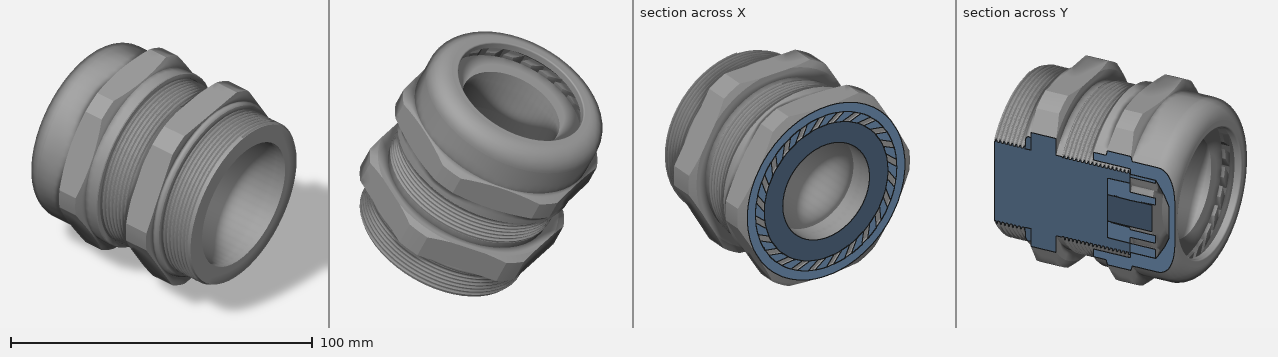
import cadquery as cq
import math


TOTAL_LENGTH = 67.7
HEX_SIDES = 6
HEX_FLATS = 64.0
HEX_CORNER_DIA = 70.05

NUT_DIA = 63.05
NUT_LENGTH = 30.7
NUT_END_CHAMFER = 0.3
NUT_HEX_START = 16.05
NUT_HEX_LENGTH = 9.9
DOME_FACE_DIA = 50.1
LIP_BORE_DIA = 45.1
LIP_LENGTH = 2.5
LIP_FILLET = 0.5
NUT_CAVITY_DIA = 57.15
CAVITY_MOUTH_DIA = 50.8
NUT_BORE_DIA = 59.4
HEX_CHAMFER_ANGLE = 24.0

BODY_START = 16.8
BODY_BORE_DIA = 45.05
CORE_DIA = 57.6
NECK_DIA = 57.9
NECK_START = 42.15
BODY_HEX_START = 44.4
BODY_HEX_LENGTH = 9.5
BODY_HEX_FACE_DIA = 65.15

TURNS_GAUGED = 7
TURNS_GAUGED_LENGTH = 10.5
PITCH = TURNS_GAUGED_LENGTH / TURNS_GAUGED
CREST_DIA = 59.0
RIDGE_BASE = 0.85
RIDGE_CREST = 0.15
RIDGE_ROOT_DEPTH = 0.2
THREAD_END_MARGIN = 0.15

SEAL_START = 8.6
SEAL_END = 25.2
SEAL_DIA = 50.4
SEAL_BORE_DIA = 35.0

CAGE_START = 7.35
CAGE_TAIL_DIA = 54.1
SLOT_COUNT = 24
SLOT_WIDTH = 1.9
SLOT_MOUTH_ANGLE = 4.3
SLOT_SKEW = 50.0
SLOT_REACH = 8.4
SLOT_BACKSTEP = 2.1

RING_LENGTH = 2.1
RING_DIA = 63.05
RING_CROWN_OFFSET = 0.8
RING_INNER_DROP = 0.2
RING_OUTER_DROP = 0.8

BODY_HEX_END = BODY_HEX_START + BODY_HEX_LENGTH
RING_END = BODY_HEX_END + RING_LENGTH


def turned(points):
    """Solid of revolution about X from (x, diameter) corner points."""
    corners = [(x, dia / 2) for x, dia in points]
    return cq.Workplane("XY").polyline(corners).close().revolve(360, (0, 0, 0), (1, 0, 0))


def tube(start, end, outer_dia, inner_dia):
    return turned([(start, inner_dia), (start, outer_dia), (end, outer_dia), (end, inner_dia)])


def rod(start, end, dia):
    return tube(start, end, dia, 0)


def hexagon(start, length, face_dia, chamfer_end):
    """Hexagon with corners on Y, turned to the corner diameter and chamfered down to face_dia."""
    drop = (HEX_CORNER_DIA - face_dia) / 2 * math.tan(math.radians(HEX_CHAMFER_ANGLE))
    end = start + length
    if chamfer_end:
        end_points = [(end - drop, HEX_CORNER_DIA), (end, face_dia)]
    else:
        end_points = [(end, HEX_CORNER_DIA)]
    envelope = turned(
        [(start, 0), (start, face_dia), (start + drop, HEX_CORNER_DIA), *end_points, (end, 0)]
    )
    corner_to_corner = HEX_FLATS / math.cos(math.pi / HEX_SIDES)
    prism = (
        cq.Workplane("YZ").workplane(offset=start).polygon(HEX_SIDES, corner_to_corner).extrude(length)
    )
    return prism.intersect(envelope)


def thread_ridge(start, end):
    """Right-hand ridge cut off square at x = start and ending at the top (+Z) with a flank at x = end."""
    height = math.ceil((end - start) / PITCH) * PITCH
    root_radius = CORE_DIA / 2 - RIDGE_ROOT_DEPTH
    crest_radius = CREST_DIA / 2
    flank_run = (RIDGE_BASE - RIDGE_CREST) / 2 / (crest_radius - CORE_DIA / 2)
    half_root = RIDGE_BASE / 2 + flank_run * RIDGE_ROOT_DEPTH
    half_crest = RIDGE_CREST / 2
    path = cq.Wire.makeHelix(PITCH, height, CORE_DIA / 2)
    profile = (
        cq.Workplane("XZ")
        .moveTo(root_radius, -half_root)
        .lineTo(crest_radius, -half_crest)
        .lineTo(crest_radius, half_crest)
        .lineTo(root_radius, half_root)
        .close()
    )
    ridge = profile.sweep(cq.Workplane(obj=path), isFrenet=True)
    ridge = ridge.rotate((0, 0, 0), (0, 0, 1), 180).rotate((0, 0, 0), (0, 1, 0), 90)
    ridge = ridge.translate((end - RIDGE_BASE / 2 - height, 0, 0))
    return ridge.cut(rod(start - 2 * PITCH, start, NUT_DIA))


def make_nut():
    dome_radius = (NUT_DIA - DOME_FACE_DIA) / 2
    outside = rod(0, NUT_LENGTH, NUT_DIA).faces("<X").edges().fillet(dome_radius)
    outside = outside.faces(">X").edges().chamfer(NUT_END_CHAMFER)
    outside = outside.union(hexagon(NUT_HEX_START, NUT_HEX_LENGTH, NUT_DIA, True))
    cavity = turned(
        [
            (LIP_LENGTH, 0),
            (LIP_LENGTH, CAVITY_MOUTH_DIA),
            (CAGE_START, NUT_CAVITY_DIA),
            (BODY_START, NUT_CAVITY_DIA),
            (BODY_START, NUT_BORE_DIA),
            (NUT_LENGTH, NUT_BORE_DIA),
            (NUT_LENGTH, 0),
        ]
    )
    nut = outside.cut(cavity).cut(rod(0, LIP_LENGTH, LIP_BORE_DIA))
    lip_edge = cq.selectors.RadiusNthSelector(0)
    return nut.faces("<X").edges(lip_edge).fillet(LIP_FILLET)


def make_body():
    body = rod(BODY_START, TOTAL_LENGTH, CORE_DIA)
    body = body.union(rod(NECK_START, BODY_HEX_START, NECK_DIA))
    body = body.union(hexagon(BODY_HEX_START, BODY_HEX_LENGTH, BODY_HEX_FACE_DIA, False))
    body = body.union(thread_ridge(BODY_START, NECK_START))
    body = body.union(thread_ridge(RING_END, TOTAL_LENGTH - THREAD_END_MARGIN))
    body = body.cut(rod(BODY_START, TOTAL_LENGTH, BODY_BORE_DIA))
    return body.cut(rod(BODY_START, SEAL_END, CAGE_TAIL_DIA))


def make_seal():
    return tube(SEAL_START, SEAL_END, SEAL_DIA, SEAL_BORE_DIA)


def make_cage():
    """Collar ahead of the body with a tail inside it, slotted at a skew into a ring of fingers."""
    cage = turned(
        [
            (CAGE_START, SEAL_DIA),
            (CAGE_START, NUT_CAVITY_DIA),
            (BODY_START, NUT_CAVITY_DIA),
            (BODY_START, CAGE_TAIL_DIA),
            (SEAL_END, CAGE_TAIL_DIA),
            (SEAL_END, SEAL_DIA),
        ]
    )
    slot_length = BODY_START - CAGE_START
    slot = cq.Workplane("XY").box(slot_length, SLOT_REACH, SLOT_WIDTH, centered=(False, True, True))
    slot = slot.translate((CAGE_START, SLOT_REACH / 2 - SLOT_BACKSTEP, 0))
    slot = slot.rotate((0, 0, 0), (1, 0, 0), SLOT_SKEW).translate((0, SEAL_DIA / 2, 0))
    for index in range(SLOT_COUNT):
        cage = cage.cut(slot.rotate((0, 0, 0), (1, 0, 0), SLOT_MOUTH_ANGLE + 360 / SLOT_COUNT * index))
    return cage


def make_sealing_ring():
    """Ring with a crowned rim that falls away further at its free end."""
    crown_radius = RING_DIA / 2
    section = (
        cq.Workplane("XY")
        .moveTo(BODY_HEX_END, CORE_DIA / 2)
        .lineTo(BODY_HEX_END, crown_radius - RING_INNER_DROP)
        .threePointArc(
            (BODY_HEX_END + RING_CROWN_OFFSET, crown_radius),
            (RING_END, crown_radius - RING_OUTER_DROP),
        )
        .lineTo(RING_END, CORE_DIA / 2)
        .close()
    )
    return section.revolve(360, (0, 0, 0), (1, 0, 0))


nut = make_nut()
body = make_body()
seal = make_seal()
cage = make_cage()
sealing_ring = make_sealing_ring()

result = cq.Compound.makeCompound(
    [nut.val(), body.val(), seal.val(), cage.val(), sealing_ring.val()]
)